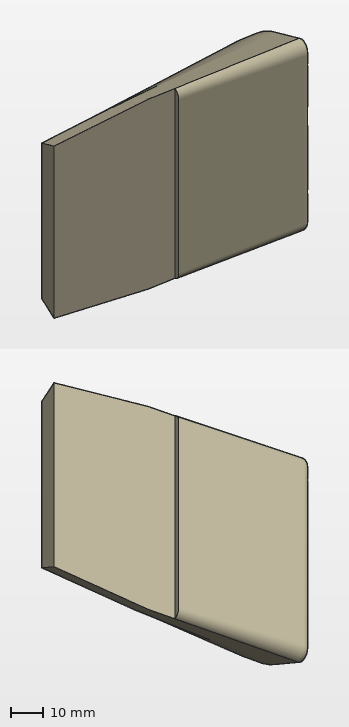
import cadquery as cq
import math

length = 93.29
half_height = 37.5
dome_depth = 34.0

cap_length = 8.0
flank_angle = 25.0
flank_depth = 12.8
crown_half_height = 17.9
back_fillet = 2.0

tip_thickness = 7.0
tip_taper_length = 35.29
tip_drop = 3.5

pad_length = 48.0
pad_back_thickness = 4.17
pad_front_thickness = 2.15
pad_back_corner = pad_back_thickness
pad_front_corner = 3.1

cap_start = length - cap_length
pad_start = length - pad_length

flank_slope = math.tan(math.radians(flank_angle))
flank_end_height = half_height - flank_depth * flank_slope
dome_rise = dome_depth - flank_depth
dome_radius = (dome_rise**2 + flank_end_height**2) / (2 * dome_rise)
dome_center_x = dome_radius - dome_depth


def dome_x(z):
    """X of the dome circle at height z."""
    return dome_center_x - math.sqrt(dome_radius**2 - z**2)


def dome_arc(z_start, z_end):
    """Arc of the dome circle between two heights at the start of the cap."""
    z_middle = (z_start + z_end) / 2
    points = [cq.Vector(dome_x(z), cap_start, z) for z in (z_start, z_middle, z_end)]
    return cq.Edge.makeThreePointArc(*points)


def planar_face(*points):
    return cq.Face.makeFromWires(cq.Wire.makePolygon(points, close=True))


def make_tapered_body():
    """Solid that runs from the dome section at the cap down to the straight tip edge."""
    tip_half_height = half_height - tip_drop
    flank_drop = tip_thickness * flank_slope
    faces = []
    rim = {}
    for side in (1, -1):
        rim_back = cq.Vector(0, cap_start, side * half_height)
        rim_bend = cq.Vector(0, tip_taper_length, side * half_height)
        rim_tip = cq.Vector(0, 0, side * tip_half_height)
        flank_back = cq.Vector(-flank_depth, cap_start, side * flank_end_height)
        flank_bend = cq.Vector(-tip_thickness, tip_taper_length, side * (half_height - flank_drop))
        flank_tip = cq.Vector(-tip_thickness, 0, side * (tip_half_height - flank_drop))
        rim[side] = (rim_back, rim_bend, rim_tip, flank_back, flank_tip)

        faces.append(planar_face(rim_back, flank_back, flank_bend, rim_bend))
        faces.append(planar_face(rim_bend, flank_bend, flank_tip, rim_tip))
        shoulder_arc = dome_arc(side * crown_half_height, side * flank_end_height)
        taper_edge = cq.Edge.makeLine(flank_tip, flank_bend)
        faces.append(cq.Face.makeRuledSurface(shoulder_arc, taper_edge))

    top_back, top_bend, top_tip, top_flank_back, top_flank_tip = rim[1]
    low_back, low_bend, low_tip, low_flank_back, low_flank_tip = rim[-1]

    crown_arc = dome_arc(-crown_half_height, crown_half_height)
    faces.append(cq.Face.makeRuledSurface(crown_arc, cq.Edge.makeLine(low_flank_tip, top_flank_tip)))
    faces.append(planar_face(top_tip, top_flank_tip, low_flank_tip, low_tip))
    faces.append(planar_face(top_back, top_bend, top_tip, low_tip, low_bend, low_back))

    back_outline = [
        cq.Edge.makeLine(low_back, low_flank_back),
        dome_arc(-flank_end_height, -crown_half_height),
        crown_arc,
        dome_arc(crown_half_height, flank_end_height),
        cq.Edge.makeLine(top_flank_back, top_back),
        cq.Edge.makeLine(top_back, low_back),
    ]
    faces.append(cq.Face.makeFromWires(cq.Wire.assembleEdges(back_outline)))
    return cq.Workplane(obj=cq.Solid.makeSolid(cq.Shell.makeShell(faces)))


def make_cap():
    """Straight prism with the dome section at the back end."""
    return (
        cq.Workplane("XZ", origin=(0, cap_start, 0))
        .moveTo(0, -half_height)
        .lineTo(-flank_depth, -flank_end_height)
        .threePointArc((-dome_depth, 0), (-flank_depth, flank_end_height))
        .lineTo(0, half_height)
        .close()
        .extrude(-cap_length)
    )


def pad_section(y, thickness, corner):
    """Pad outline at y; its corner arcs run tangent into the outer face."""
    radius = (thickness**2 + corner**2) / (2 * thickness)
    half_sweep = math.asin(corner / radius) / 2
    middle_x = thickness - radius * (1 - math.cos(half_sweep))
    flat_half_height = half_height - corner
    middle_z = flat_half_height + radius * math.sin(half_sweep)
    outline = (
        cq.Workplane("XZ", origin=(0, y, 0))
        .moveTo(0, -half_height)
        .threePointArc((middle_x, -middle_z), (thickness, -flat_half_height))
        .lineTo(thickness, flat_half_height)
        .threePointArc((middle_x, middle_z), (0, half_height))
        .close()
    )
    return outline.val()


def make_pad():
    """Raised pad that thickens toward the back end."""
    front = pad_section(pad_start, pad_front_thickness, pad_front_corner)
    back = pad_section(length, pad_back_thickness, pad_back_corner)
    return cq.Workplane(obj=cq.Solid.makeLoft([front, back], True))


body = make_tapered_body().union(make_cap()).union(make_pad())
result = body.faces(">Y").edges().fillet(back_fillet)